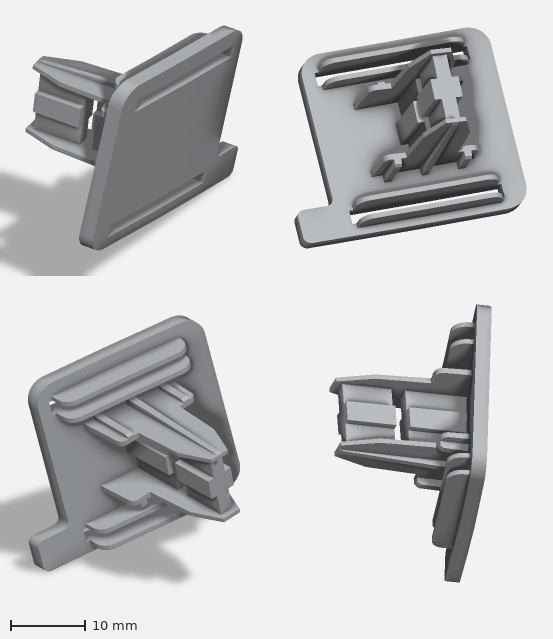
import cadquery as cq
import math

ROLL_ANGLE = -12.0

PLATE_HALF_WIDTH = 12.77
PLATE_TOP = 13.58
PLATE_BOTTOM = -13.48
PLATE_CORNER_RADIUS = 3.0
PLATE_THICKNESS = 2.08
PLATE_FRONT_X = 18.45
PLATE_SLOPE_Y = 0.204
PLATE_SLOPE_Z = 0.098
PLATE_BOW_RADIUS = 500.0

TAB_END_Y = 17.88
TAB_TOP = -8.5
TAB_CORNER_RADIUS = 1.0

SLOT_LENGTH = 20.6
SLOT_HEIGHT = 1.97
SLOT_CENTER_Y = 0.7
SLOT_CENTERS_Z = (9.92, -10.73)
RIB_LENGTH = 19.5
RIB_THICKNESS = 0.7
RIB_HEIGHT = 3.15
RIB_CORNER_RADIUS = 2.0

TIP_HALF_WIDTH = 1.45
KNEE_X = 5.0
KNEE_HALF_WIDTH = 3.3
SHOULDER_X = 12.77
NECK_HALF_WIDTH = 3.7
SHOULDER_HALF_WIDTH = 6.7
SHOULDER_RADIUS = 1.0
SIDE_DRAFT = 0.04
BLADE_TIP_INNER_Z = 4.7
BLADE_TIP_OUTER_Z = 5.3
BLADE_OUTER_DRAFT = 0.008
BLADE_INNER_DRAFT = 0.005

WEB_FRONT_X = 1.0
WEB_HALF_WIDTH = 1.0
WEB_CORE_HALF_WIDTH = 2.0
WEB_CORE_HALF_HEIGHT = 1.47
WEB_DRAFT_ANGLE = 0.5
WEB_GAP_START_X = 7.97
WEB_GAP_END_X = 9.92

KEEL_TIP_WIDTH = 0.75
KEEL_ROOT_WIDTH = 1.0
KEEL_RAMP_LENGTH = 0.8
KEEL_RAMP_OUTER_Z = 5.5
KEEL_ROOT_OUTER_Z = 6.7
STRIP_Y = 5.0
STRIP_WIDTH = 1.0
UPPER_STRIP_OUTER_Z = 5.95
LOWER_STRIP_OUTER_Z = 6.45
STRIP_DRAFT = 0.02
STRIP_CHAMFER_RUN = 0.45
STRIP_CHAMFER_RISE = 0.3

STEM_END_X = 21.0
OVERSIZE = 20.0
PICK_REACH = 0.3


def plate_front_chord(y, z):
    """X of the flat, unbowed plate front."""
    return PLATE_FRONT_X + PLATE_SLOPE_Y * y + PLATE_SLOPE_Z * z


def bowed_front_point(y, z):
    """Point on the bowed plate front, where the bow runs along Y."""
    chord = y * math.hypot(1, PLATE_SLOPE_Y)
    sag = PLATE_BOW_RADIUS - math.sqrt(PLATE_BOW_RADIUS**2 - chord**2)
    return cq.Vector(plate_front_chord(y, z) - sag, y, z)


def slab(front_offset, back_offset):
    """Tilted, bowed slab between two X offsets from the plate front."""
    z = -OVERSIZE
    front = [bowed_front_point(y, z) + cq.Vector(front_offset, 0, 0) for y in (-OVERSIZE, 0, OVERSIZE)]
    back = [bowed_front_point(y, z) + cq.Vector(back_offset, 0, 0) for y in (OVERSIZE, 0, -OVERSIZE)]
    edges = [
        cq.Edge.makeThreePointArc(*front),
        cq.Edge.makeLine(front[-1], back[0]),
        cq.Edge.makeThreePointArc(*back),
        cq.Edge.makeLine(back[-1], front[0]),
    ]
    sweep = cq.Vector(PLATE_SLOPE_Z, 0, 1) * (2 * OVERSIZE)
    return cq.Workplane(cq.Solid.extrudeLinear(cq.Wire.assembleEdges(edges), [], sweep))


def box(x_range, y_range, z_range):
    """Box from its limits along each axis."""
    sizes = [high - low for low, high in (x_range, y_range, z_range)]
    corner = (x_range[0], y_range[0], z_range[0])
    return cq.Workplane().box(*sizes, centered=False).translate(corner)


def near(point, reach):
    """Selector for edges centred within the given reach of a point."""
    low = [value - distance for value, distance in zip(point, reach)]
    high = [value + distance for value, distance in zip(point, reach)]
    return cq.selectors.BoxSelector(low, high)


def centered_range(center, size):
    return (center - size / 2, center + size / 2)


def make_plate():
    main = box((0, 2 * OVERSIZE), (-PLATE_HALF_WIDTH, PLATE_HALF_WIDTH), (PLATE_BOTTOM, PLATE_TOP))
    tab = box((0, 2 * OVERSIZE), (0, TAB_END_Y), (PLATE_BOTTOM, TAB_TOP))
    outline = main.union(tab)
    rounded_corners = [
        (-PLATE_HALF_WIDTH, PLATE_BOTTOM, PLATE_CORNER_RADIUS),
        (-PLATE_HALF_WIDTH, PLATE_TOP, PLATE_CORNER_RADIUS),
        (PLATE_HALF_WIDTH, PLATE_TOP, PLATE_CORNER_RADIUS),
        (PLATE_HALF_WIDTH, TAB_TOP, TAB_CORNER_RADIUS),
        (TAB_END_Y, TAB_TOP, TAB_CORNER_RADIUS),
        (TAB_END_Y, PLATE_BOTTOM, TAB_CORNER_RADIUS),
    ]
    for y, z, radius in rounded_corners:
        outline = round_x_edges(outline, y, z, radius)
    return outline.intersect(slab(0, PLATE_THICKNESS))


def round_x_edges(body, y, z, radius):
    """Fillet the edge along X at the given Y and Z."""
    corner = near((OVERSIZE, y, z), (2 * OVERSIZE, PICK_REACH, PICK_REACH))
    return body.edges("|X").edges(corner).fillet(radius)


def make_rib(center_z):
    """Guide rib that follows the plate front, with its two free corners rounded."""
    blank = box(
        (0, PLATE_FRONT_X + OVERSIZE),
        centered_range(SLOT_CENTER_Y, RIB_LENGTH),
        centered_range(center_z, RIB_THICKNESS),
    )
    rib = blank.intersect(slab(-RIB_HEIGHT, PLATE_THICKNESS / 2))
    front_corners = [
        bowed_front_point(y, center_z) - cq.Vector(RIB_HEIGHT, 0, 0)
        for y in centered_range(SLOT_CENTER_Y, RIB_LENGTH)
    ]
    for corner in front_corners:
        selector = near(corner.toTuple(), (PICK_REACH, PICK_REACH, PICK_REACH))
        rib = rib.edges(selector).fillet(RIB_CORNER_RADIUS)
    return rib


def make_slot(center_z):
    return box(
        (0, 2 * OVERSIZE),
        centered_range(SLOT_CENTER_Y, SLOT_LENGTH),
        centered_range(center_z, SLOT_HEIGHT),
    )


def make_blade(strip_outer_z):
    """Blade on the +Z side of the stem, with its keel and shoulder strips."""
    shoulder_end = SHOULDER_HALF_WIDTH + SIDE_DRAFT * (STEM_END_X - SHOULDER_X)
    half_outline = [
        (0, TIP_HALF_WIDTH),
        (KNEE_X, KNEE_HALF_WIDTH),
        (SHOULDER_X, NECK_HALF_WIDTH),
        (SHOULDER_X, SHOULDER_HALF_WIDTH),
        (STEM_END_X, shoulder_end),
    ]
    mirrored = [(x, -y) for x, y in reversed(half_outline)]
    blank = cq.Workplane().polyline(half_outline + mirrored).close().extrude(OVERSIZE)
    for y in (-SHOULDER_HALF_WIDTH, SHOULDER_HALF_WIDTH):
        corner = near((SHOULDER_X, y, OVERSIZE / 2), (PICK_REACH, PICK_REACH, OVERSIZE))
        blank = blank.edges("|Z").edges(corner).fillet(SHOULDER_RADIUS)
    thickness_profile = [
        (0, BLADE_TIP_INNER_Z),
        (0, BLADE_TIP_OUTER_Z),
        (STEM_END_X, BLADE_TIP_OUTER_Z + BLADE_OUTER_DRAFT * STEM_END_X),
        (STEM_END_X, BLADE_TIP_INNER_Z - BLADE_INNER_DRAFT * STEM_END_X),
    ]
    blade = blank.intersect(side_profile(thickness_profile, 0, 2 * OVERSIZE))
    blade = blade.union(make_keel())
    for y in (-STRIP_Y, STRIP_Y):
        blade = blade.union(make_strip(y, strip_outer_z))
    return blade


def make_keel():
    """Central strip that rises and widens from the tip of the blade to its root."""
    profile = [
        (0, BLADE_TIP_INNER_Z),
        (0, BLADE_TIP_OUTER_Z),
        (KEEL_RAMP_LENGTH, KEEL_RAMP_OUTER_Z),
        (STEM_END_X, KEEL_ROOT_OUTER_Z),
        (STEM_END_X, BLADE_TIP_INNER_Z),
    ]
    plan = [
        (0, -KEEL_TIP_WIDTH / 2),
        (STEM_END_X, -KEEL_ROOT_WIDTH / 2),
        (STEM_END_X, KEEL_ROOT_WIDTH / 2),
        (0, KEEL_TIP_WIDTH / 2),
    ]
    taper = cq.Workplane().polyline(plan).close().extrude(OVERSIZE)
    return side_profile(profile, 0, KEEL_ROOT_WIDTH).intersect(taper)


def make_strip(center_y, outer_z):
    """Strip along a shoulder, chamfered at its free end."""
    profile = [
        (SHOULDER_X, BLADE_TIP_INNER_Z),
        (SHOULDER_X, outer_z - STRIP_CHAMFER_RISE),
        (SHOULDER_X + STRIP_CHAMFER_RUN, outer_z),
        (STEM_END_X, outer_z + STRIP_DRAFT * (STEM_END_X - SHOULDER_X)),
        (STEM_END_X, BLADE_TIP_INNER_Z),
    ]
    return side_profile(profile, center_y, STRIP_WIDTH)


def side_profile(points, center_y, width):
    """Extrude an (X, Z) outline symmetrically about center_y."""
    return cq.Workplane("XZ", origin=(0, center_y, 0)).polyline(points).close().extrude(width / 2, both=True)


def make_web():
    """Cross-shaped web that joins the blades, split by a gap."""
    blade_middle = (BLADE_TIP_INNER_Z + BLADE_TIP_OUTER_Z) / 2
    upper_right = [
        (WEB_HALF_WIDTH, blade_middle),
        (WEB_HALF_WIDTH, WEB_CORE_HALF_HEIGHT),
        (WEB_CORE_HALF_WIDTH, WEB_CORE_HALF_HEIGHT),
    ]
    right = upper_right + [(y, -z) for y, z in reversed(upper_right)]
    left = [(-y, z) for y, z in reversed(right)]
    length = STEM_END_X - WEB_FRONT_X
    front = cq.Workplane("YZ", origin=(WEB_FRONT_X, 0, 0)).polyline(right + left).close()
    web = front.extrude(length, taper=-WEB_DRAFT_ANGLE)
    gap = box((WEB_GAP_START_X, WEB_GAP_END_X), (-OVERSIZE, OVERSIZE), (-OVERSIZE, OVERSIZE))
    return web.cut(gap)


def make_stem():
    upper_blade = make_blade(UPPER_STRIP_OUTER_Z)
    lower_blade = make_blade(LOWER_STRIP_OUTER_Z).mirror("XY")
    stem = make_web().union(upper_blade).union(lower_blade)
    return stem.cut(slab(PLATE_THICKNESS / 2, OVERSIZE))


def make_part():
    part = make_plate().union(make_stem())
    rib_offset = (SLOT_HEIGHT + RIB_THICKNESS) / 2
    for slot_z in SLOT_CENTERS_Z:
        for rib_z in (slot_z - rib_offset, slot_z + rib_offset):
            part = part.union(make_rib(rib_z))
        part = part.cut(make_slot(slot_z))
    return part


result = make_part().rotate((0, 0, 0), (1, 0, 0), ROLL_ANGLE)